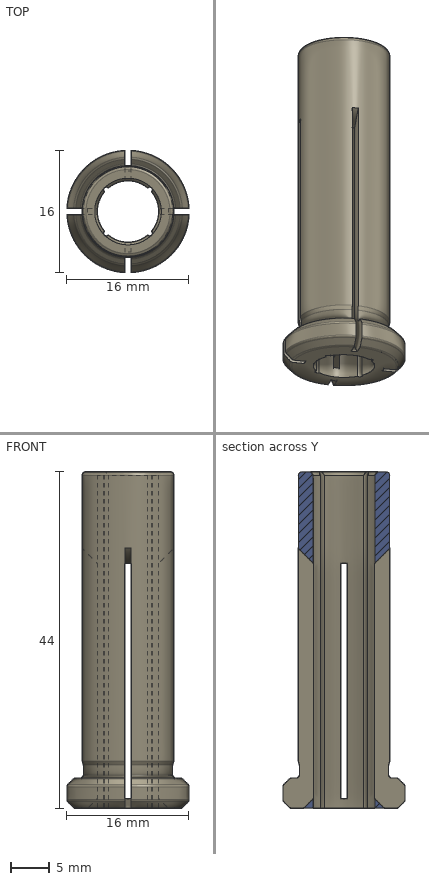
import cadquery as cq

length = 44.0
body_radius = 6.0
bore_radius = 4.0
rim_chamfer = 0.3
rim_round = 0.5

flange_radius = 8.0
flange_height = 4.0
flange_chamfer = 1.0
flange_edge_round = 0.4

neck_radius = 5.85
neck_cone_start = 5.65
neck_cone_end = 6.2

lead_in_width = 0.35
lead_in_depth = 0.5

slot_count = 4
slot_width = 0.8
slot_top = 34.0
slot_foot_at_bore = 1.3
slot_overrun = 1.0

groove_radius = 0.35


def turned(outline):
    """Revolve a (radius, height) outline about the Z axis."""
    return cq.Workplane("XZ").polyline(outline).close().revolve(360, (0, 0, 0), (0, 1, 0))


def rounded_rings(solid, radius, rings):
    """Round the circular edges given as (edge radius, height) pairs."""
    tolerance = 0.01
    edges = []
    for ring_radius, height in rings:
        for edge in solid.edges("%CIRCLE").vals():
            same_radius = abs(edge.radius() - ring_radius) < tolerance
            same_height = abs(edge.Center().z - height) < tolerance
            if same_radius and same_height:
                edges.append(edge)
    return solid.newObject(edges).fillet(radius)


def make_body():
    """Turned outer shape: flange, neck and cylindrical shank, without the bore."""
    flange_flat = flange_radius - flange_chamfer
    flange_shoulder = flange_height - flange_chamfer
    rim_flat = body_radius - rim_chamfer
    rim_start = length - rim_chamfer
    outline = [
        (0, 0),
        (flange_flat, 0),
        (flange_radius, flange_chamfer),
        (flange_radius, flange_shoulder),
        (flange_flat, flange_height),
        (neck_radius, flange_height),
        (neck_radius, neck_cone_start),
        (body_radius, neck_cone_end),
        (body_radius, rim_start),
        (rim_flat, length),
        (0, length),
    ]
    body = turned(outline)
    flange_rings = [
        (flange_flat, 0),
        (flange_radius, flange_chamfer),
        (flange_radius, flange_shoulder),
        (flange_flat, flange_height),
        (neck_radius, flange_height),
    ]
    body = rounded_rings(body, flange_edge_round, flange_rings)
    rim_rings = [
        (body_radius, rim_start),
        (rim_flat, length),
    ]
    return rounded_rings(body, rim_round, rim_rings)


def make_bore():
    """Through bore with its conical lead-in at the upper end."""
    outline = [
        (0, 0),
        (bore_radius, 0),
        (bore_radius, length - lead_in_depth),
        (bore_radius + lead_in_width, length),
        (0, length),
    ]
    return turned(outline)


def make_slot():
    """Slot toward +X whose upper and lower ends slope at 45 degrees, widening outward."""
    inner = bore_radius - slot_overrun
    outer = flange_radius + slot_overrun
    foot_at_inner = slot_foot_at_bore + slot_overrun
    foot_at_outer = foot_at_inner - (outer - inner)
    top_at_outer = slot_top + (outer - body_radius)
    top_at_inner = top_at_outer - (outer - inner)
    outline = [
        (inner, foot_at_inner),
        (outer, foot_at_outer),
        (outer, top_at_outer),
        (inner, top_at_inner),
    ]
    return cq.Workplane("XZ").polyline(outline).close().extrude(slot_width / 2, both=True)


def make_groove():
    """Round-bottomed groove centred on the bore wall, running the full length."""
    return cq.Workplane("XY").center(bore_radius, 0).circle(groove_radius).extrude(length)


def about_axis(solid, angle):
    """Turn a solid about the sleeve axis by an angle in degrees."""
    return solid.rotate((0, 0, 0), (0, 0, 1), angle)


slot_spacing = 360 / slot_count
result = make_body().cut(make_bore())
for index in range(slot_count):
    slot_angle = slot_spacing * index
    groove_angle = slot_angle + slot_spacing / 2
    result = result.cut(about_axis(make_slot(), slot_angle))
    result = result.cut(about_axis(make_groove(), groove_angle))